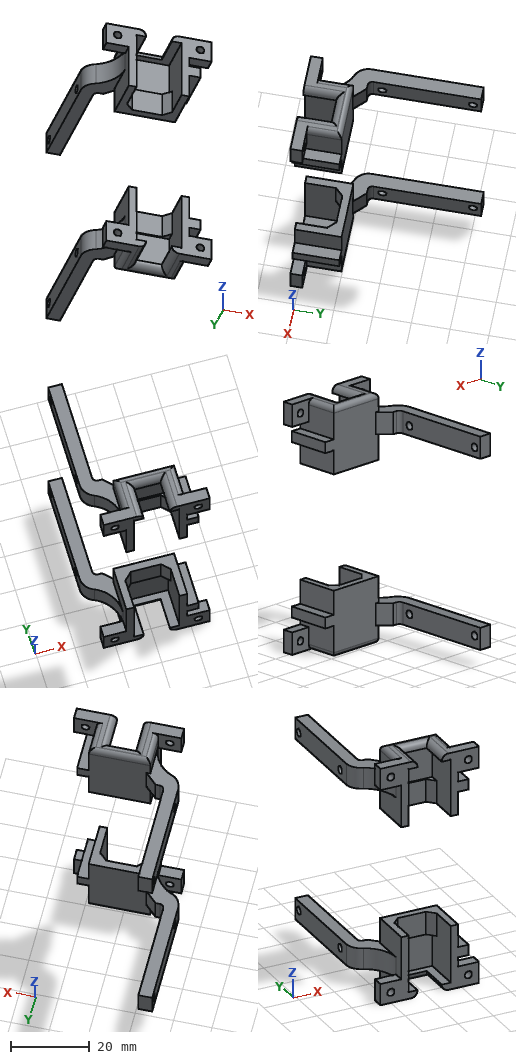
import cadquery as cq

TOTAL_HEIGHT = 67.2
BRACKET_HEIGHT = 18.0

CENTER_X = 16.0
HOUSING_WIDTH = 16.05
HOUSING_DEPTH = 12.1
OUTER_FILLET = 1.5

CAVITY_WIDTH = 11.95
CHAMBER_DEPTH = 10.5
BACK_DEPTH = 10.0
CORNER_CHAMFER = 2.0
END_PLATE = 1.95
CHAMBER_END = 11.55

SLOT_WIDTH = 6.85
SLOT_DEPTH = 8.6
SLOT_FILLET = 1.9
RIM_MARGIN = 0.35

FLANGE_WIDTH = 27.95
FLANGE_THICKNESS = 3.1
FLANGE_HEIGHT = 6.05
FLANGE_HOLE_DIAMETER = 2.0
FLANGE_HOLE_SPACING = 22.0
FLANGE_HOLE_DROP = 3.0

RIB_WIDTH = 3.0
RIB_START = 8.6

ARM_LENGTH = 44.2
ARM_THICKNESS = 3.6
ARM_HEIGHT = 6.0
ARM_START = 5.0
ARM_HOLE_DIAMETER = 2.1
ARM_HOLE_DROP = 8.3
ARM_HOLE_YS = (18.75, 42.15)
BEND_Y = 15.25
BEND_RADIUS = 4.2
SWEEP_START = (2.75, 11.3)
SWEEP_RADIUS = 8.95
ELBOW_RADIUS = 1.2
ELBOW_Y = 15.2
SHOULDER_X = 5.9
ARM_ROOT_X = 9.15

HOUSING_LEFT = CENTER_X - HOUSING_WIDTH / 2
HOUSING_RIGHT = CENTER_X + HOUSING_WIDTH / 2


def block(left, right, front, back, low_drop, high_drop):
    """Box between X and Y limits; the two drops are distances below the top."""
    return cq.Workplane("XY").box(right - left, back - front, low_drop - high_drop, centered=False).translate(
        (left, front, TOTAL_HEIGHT - low_drop)
    )


def centered_block(width, depth, low_drop, high_drop):
    """Box starting at the flange front and centred on the housing."""
    return block(CENTER_X - width / 2, CENTER_X + width / 2, 0, depth, low_drop, high_drop)


def make_housing():
    outer = centered_block(HOUSING_WIDTH, HOUSING_DEPTH, BRACKET_HEIGHT, 0)
    outer = outer.faces(">Z").edges("<X or >X or >Y").fillet(OUTER_FILLET)
    chamber = centered_block(CAVITY_WIDTH, CHAMBER_DEPTH, CHAMBER_END, END_PLATE)
    shallow = centered_block(CAVITY_WIDTH, BACK_DEPTH, BRACKET_HEIGHT, END_PLATE)
    shallow = shallow.edges("|Z and >Y").chamfer(CORNER_CHAMFER)
    housing = cut_slot(outer.union(make_flange()).union(make_rib()))
    return housing.cut(chamber).cut(shallow)


def cut_slot(housing):
    """Open the slot down from the top face and round its upper rim."""
    housing = housing.cut(centered_block(SLOT_WIDTH, SLOT_DEPTH, CHAMBER_END, 0))
    rim_left = CENTER_X - SLOT_WIDTH / 2 - RIM_MARGIN
    rim_right = CENTER_X + SLOT_WIDTH / 2 + RIM_MARGIN
    rim_zone = cq.selectors.BoxSelector(
        (rim_left, RIM_MARGIN, TOTAL_HEIGHT - RIM_MARGIN),
        (rim_right, SLOT_DEPTH + RIM_MARGIN, TOTAL_HEIGHT + RIM_MARGIN),
    )
    return housing.edges(rim_zone).fillet(SLOT_FILLET)


def make_flange():
    flange = centered_block(FLANGE_WIDTH, FLANGE_THICKNESS, FLANGE_HEIGHT, 0)
    holes = (
        cq.Workplane("XZ", origin=(CENTER_X, 0, TOTAL_HEIGHT - FLANGE_HOLE_DROP))
        .pushPoints([(-FLANGE_HOLE_SPACING / 2, 0), (FLANGE_HOLE_SPACING / 2, 0)])
        .circle(FLANGE_HOLE_DIAMETER / 2)
        .extrude(-FLANGE_THICKNESS)
    )
    return flange.cut(holes)


def make_rib():
    return block(
        HOUSING_RIGHT, HOUSING_RIGHT + RIB_WIDTH, 0, HOUSING_DEPTH, CHAMBER_END, RIB_START
    )


def make_arm():
    """Straight bar that bends and sweeps into the left wall of the housing."""
    shoulder_drop = ARM_ROOT_X - SHOULDER_X
    arm = (
        cq.Workplane("XY", origin=(0, 0, TOTAL_HEIGHT - ARM_START - ARM_HEIGHT))
        .moveTo(0, ARM_LENGTH)
        .lineTo(0, BEND_Y)
        .radiusArc(SWEEP_START, -BEND_RADIUS)
        .radiusArc((HOUSING_LEFT, FLANGE_THICKNESS), SWEEP_RADIUS)
        .lineTo(ARM_ROOT_X, FLANGE_THICKNESS)
        .lineTo(ARM_ROOT_X, ELBOW_Y - shoulder_drop)
        .lineTo(SHOULDER_X, ELBOW_Y)
        .lineTo(ARM_THICKNESS + ELBOW_RADIUS, ELBOW_Y)
        .radiusArc((ARM_THICKNESS, ELBOW_Y + ELBOW_RADIUS), ELBOW_RADIUS)
        .lineTo(ARM_THICKNESS, ARM_LENGTH)
        .close()
        .extrude(ARM_HEIGHT)
    )
    holes = (
        cq.Workplane("YZ", origin=(0, 0, TOTAL_HEIGHT - ARM_HOLE_DROP))
        .pushPoints([(y, 0) for y in ARM_HOLE_YS])
        .circle(ARM_HOLE_DIAMETER / 2)
        .extrude(ARM_THICKNESS)
    )
    return arm.cut(holes)


def make_bracket():
    return make_housing().union(make_arm())


upper_bracket = make_bracket()
lower_bracket = upper_bracket.mirror("XY", (0, 0, TOTAL_HEIGHT / 2))

result = cq.Compound.makeCompound([upper_bracket.val(), lower_bracket.val()])